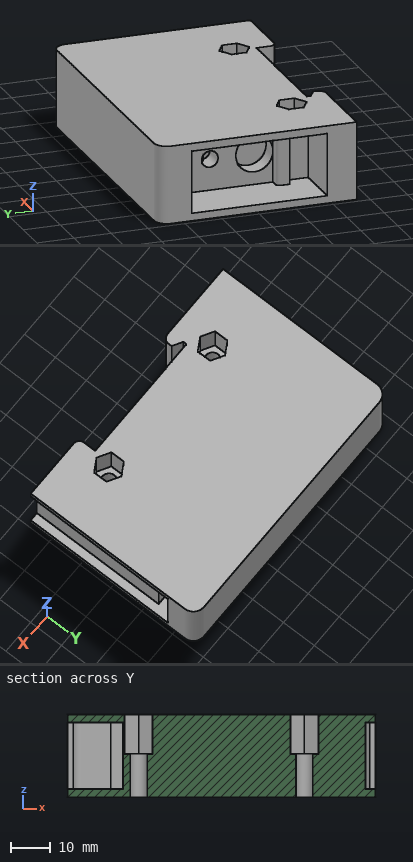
import cadquery as cq

length = 78.0
width = 53.5
height = 21.0
corner_radius = 3.5

side_wall = 1.5
plate_thickness = 2.1
cavity_radius = corner_radius - side_wall
mid_height = height / 2

core_start_x = 14.0
core_end_x = 75.5
core_back_y = 39.5

window_front_y = 8.0
window_back_y = 44.5

channel_left_x = 21.75
channel_right_x = 58.7
channel_depth = 5.5
hook_tip_x = 24.5
hook_root_y = 4.5
hook_tip_y = 2.9
lip_radius = 2.0

ledge_front_y = 14.0
ledge_back_y = 17.5
ledge_projection = 3.0
ledge_radius = 1.0

large_bore_radius = 5.0
large_bore_y = ledge_back_y + large_bore_radius
large_bore_depth = 5.0
small_bore_radius = 2.2
small_bore_y = 34.5
small_bore_depth = 5.0
small_bore_step = 1.0

bolt_positions = [(18.0, 11.0), (60.0, 11.0)]
bolt_diameter = 4.2
nut_across_flats = 7.0
nut_pocket_depth = 10.0
HEX_SIDES = 6


def box_between(x_range, y_range, z_range):
    """Axis-aligned box given by its (low, high) limits on each axis."""
    lows = (x_range[0], y_range[0], z_range[0])
    sizes = [r[1] - r[0] for r in (x_range, y_range, z_range)]
    return cq.Workplane("XY").box(*sizes, centered=False).translate(lows)


inner_z = (plate_thickness, height - plate_thickness)


def make_body():
    body = box_between((0, length), (0, width), (0, height))
    return body.edges("|Z and >Y").fillet(corner_radius)


def make_cavity():
    """Interior space: back channel, left bay and the right bay open to the front."""
    back = box_between((side_wall, length - side_wall), (core_back_y, width - side_wall), inner_z)
    back = back.edges("|Z and >Y").fillet(cavity_radius)
    left_bay = box_between((0, core_start_x), (window_front_y, core_back_y), inner_z)
    right_bay = box_between((core_end_x, length), (0, core_back_y), inner_z)
    window_slot = box_between((0, length), (core_back_y, window_back_y), inner_z)
    return back.union(left_bay).union(right_bay).union(window_slot)


def make_ledge():
    x_range = (core_start_x - ledge_projection, core_start_x)
    ledge = box_between(x_range, (ledge_front_y, ledge_back_y), inner_z)
    return ledge.edges("|Z and >Y and <X").fillet(ledge_radius)


def make_rail_channel():
    """Channel across the front with an undercut hook at the left and rounded lips."""
    return (
        cq.Workplane("XY")
        .moveTo(channel_left_x, channel_depth)
        .lineTo(channel_left_x, hook_root_y)
        .lineTo(hook_tip_x, hook_tip_y)
        .lineTo(hook_tip_x, lip_radius)
        .radiusArc((hook_tip_x - lip_radius, 0), lip_radius)
        .lineTo(channel_right_x + lip_radius, 0)
        .radiusArc((channel_right_x, lip_radius), lip_radius)
        .lineTo(channel_right_x, channel_depth)
        .close()
        .extrude(height)
    )


def make_bore(center_y, radius, depth):
    """Cylinder running along X from the left face of the core."""
    plane = cq.Workplane("YZ", origin=(core_start_x, center_y, mid_height))
    return plane.circle(radius).extrude(depth)


def make_stepped_bore():
    """Small bore whose floor is deeper on its front half."""
    shallow = make_bore(small_bore_y, small_bore_radius, small_bore_depth)
    deep = make_bore(small_bore_y, small_bore_radius, small_bore_depth + small_bore_step)
    front_half = box_between((0, length), (0, small_bore_y), (0, height))
    return shallow.union(deep.intersect(front_half))


def make_bolt_holes():
    holes = cq.Workplane("XY").pushPoints(bolt_positions).circle(bolt_diameter / 2).extrude(height)
    nut_pocket = (
        cq.Workplane("XY")
        .polygon(HEX_SIDES, nut_across_flats, circumscribed=True)
        .extrude(nut_pocket_depth)
    )
    for x, y in bolt_positions:
        holes = holes.union(nut_pocket.translate((x, y, height - nut_pocket_depth)))
    return holes


result = (
    make_body()
    .cut(make_cavity())
    .union(make_ledge())
    .cut(make_rail_channel())
    .cut(make_bore(large_bore_y, large_bore_radius, large_bore_depth))
    .cut(make_stepped_bore())
    .cut(make_bolt_holes())
)